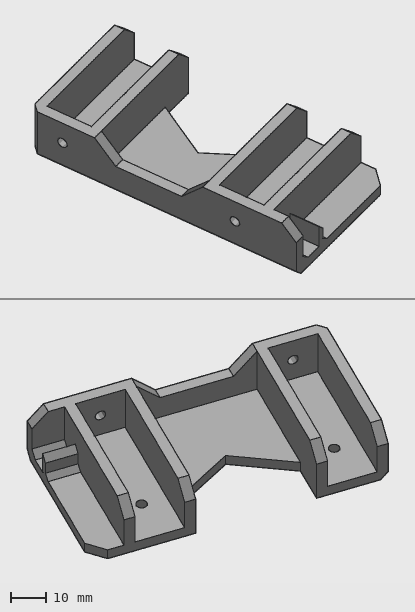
import math

import cadquery as cq

length = 91.0
depth = 47.5
height = 18.5

wall = 3.5
side_thickness = 3.4
channel_width = 15.2
channel_starts = (0.0, 59.0)
channel_outer = channel_width + 2 * side_thickness
end_chamfer = 5.0
edge_chamfer = 2.4

hole_diameter = 3.2
floor_hole_y = 34.0
front_hole_z = (wall + height) / 2

gap_start = channel_starts[0] + channel_outer
gap_end = channel_starts[1]
gap_middle = (gap_start + gap_end) / 2
v_tip_y = 24.95
v_slope = 30.0
v_edge_y = v_tip_y + (gap_middle - gap_start) * math.tan(math.radians(v_slope))
notch_z = 11.25
notch_drop = height - notch_z

ledge_start = channel_starts[1] + channel_outer
ledge_width = length - ledge_start
rib_y = 11.5
rib_thickness = 2.0
rib_top = 11.0
rib_foot_depth = 2.0
rib_foot_rise = 1.5
wall_foot_depth = 2.5
wall_foot_rise = 2.1


def along_x(points, start, distance):
    """Extrude a (y, z) outline along X."""
    return cq.Workplane("YZ").polyline(points).close().extrude(distance).translate((start, 0, 0))


def floor_plate():
    """Base plate with the V-shaped cut in its back edge and a cut corner."""
    outline = [
        (0, 0),
        (length, 0),
        (length, depth - end_chamfer),
        (length - end_chamfer, depth),
        (gap_end, depth),
        (gap_end, v_edge_y),
        (gap_middle, v_tip_y),
        (gap_start, v_edge_y),
        (gap_start, depth),
        (0, depth),
    ]
    return cq.Workplane("XY").polyline(outline).close().extrude(wall)


def front_wall():
    """Front wall with a dip over the gap and a cut top corner."""
    outline = [
        (0, 0),
        (length, 0),
        (length, height - end_chamfer),
        (length - end_chamfer, height),
        (gap_end, height),
        (gap_end - notch_drop, notch_z),
        (gap_start + notch_drop, notch_z),
        (gap_start, height),
        (0, height),
    ]
    return cq.Workplane("XZ").polyline(outline).close().extrude(-wall)


def side_wall(x):
    """Channel wall with its top back corner cut."""
    outline = [
        (0, 0),
        (depth, 0),
        (depth, height - end_chamfer),
        (depth - end_chamfer, height),
        (0, height),
    ]
    return along_x(outline, x, side_thickness)


def ledge_rib():
    """Rib parallel to the front wall, with a bevelled top and a sloped foot."""
    back = rib_y + rib_thickness
    outline = [
        (rib_y, 0),
        (back + rib_foot_depth, 0),
        (back + rib_foot_depth, wall),
        (back, wall + rib_foot_rise),
        (back, rib_top - rib_thickness),
        (rib_y, rib_top),
    ]
    return along_x(outline, ledge_start, ledge_width)


def ledge_wall_foot():
    """Sloped foot joining the front wall to the ledge."""
    outline = [
        (wall, wall),
        (wall + wall_foot_depth, wall),
        (wall, wall + wall_foot_rise),
    ]
    return along_x(outline, ledge_start, ledge_width)


def channel_holes(x):
    """One hole down through the channel floor and one through the front wall."""
    radius = hole_diameter / 2
    floor_hole = cq.Workplane("XY").center(x, floor_hole_y).circle(radius).extrude(wall)
    front_hole = cq.Workplane("XZ").center(x, front_hole_z).circle(radius).extrude(-wall)
    return floor_hole.union(front_hole)


result = floor_plate().union(front_wall())
for start in channel_starts:
    result = result.union(side_wall(start))
    result = result.union(side_wall(start + side_thickness + channel_width))
result = result.union(ledge_rib()).union(ledge_wall_foot())

result = result.edges("(<X and <Y) or (<Z and <Y) or (<Z and <X)").chamfer(edge_chamfer)

for start in channel_starts:
    result = result.cut(channel_holes(start + channel_outer / 2))